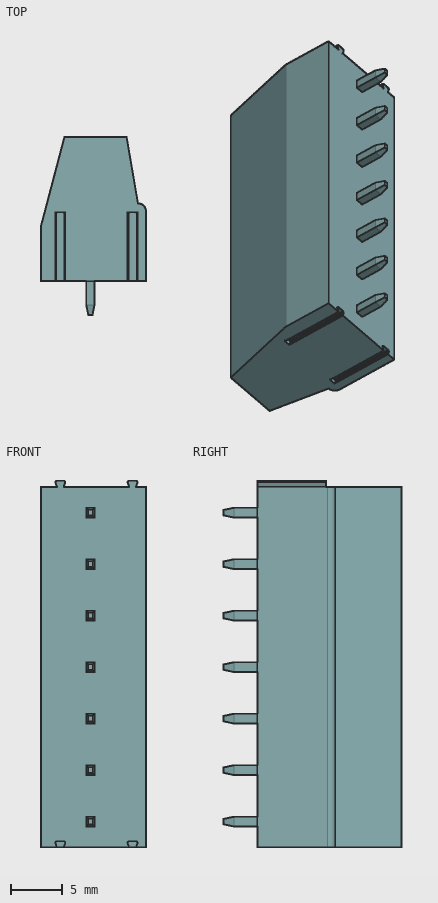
import cadquery as cq

pole_count = 7
ridge_height = 0.6
overall_height = 35.6
housing_height = overall_height - ridge_height
pole_pitch = housing_height / pole_count

housing_width = 10.2
housing_depth = 14.0
left_wall_depth = 5.35
back_left_x = 2.28
back_right_x = 8.33
shoulder_y = 7.55
shoulder_radius = 0.8

dovetail_centres_x = (1.9, 8.9)
dovetail_length = 6.65
dovetail_root_width = 0.68
dovetail_widest = 1.0
dovetail_bevel_width = 0.1
dovetail_bevel_height = 0.15

pin_x = 4.8
pin_width = 0.82
pin_height = 0.95
pin_length = 3.3
pin_tip_length = 1.0
pin_tip_width = 0.43
pin_tip_height = 0.55


def make_housing():
    """Tapered block with a rounded shoulder along its right side."""
    shoulder = (housing_width - shoulder_radius, shoulder_y)
    return (
        cq.Workplane("XY")
        .lineTo(housing_width, 0)
        .lineTo(housing_width, shoulder_y - shoulder_radius)
        .radiusArc(shoulder, -shoulder_radius)
        .lineTo(back_right_x, housing_depth)
        .lineTo(back_left_x, housing_depth)
        .lineTo(0, left_wall_depth)
        .close()
        .extrude(housing_height)
    )


def make_dovetail(centre_x, base_z):
    """Bar that widens upward from base_z and ends in bevelled edges."""
    half_root = dovetail_root_width / 2
    half_widest = dovetail_widest / 2
    half_top = half_widest - dovetail_bevel_width
    bevel_z = ridge_height - dovetail_bevel_height
    return (
        cq.Workplane("XZ", origin=(centre_x, 0, base_z))
        .polyline([
            (-half_root, 0),
            (half_root, 0),
            (half_widest, bevel_z),
            (half_top, ridge_height),
            (-half_top, ridge_height),
            (-half_widest, bevel_z),
        ])
        .close()
        .extrude(-dovetail_length)
    )


def make_pin(centre_z):
    """Rectangular pin pointing to -Y with a tapered tip."""
    shank_length = pin_length - pin_tip_length
    shank = (
        cq.Workplane("XZ", origin=(pin_x, 0, centre_z))
        .rect(pin_width, pin_height)
        .extrude(shank_length)
    )
    tip = (
        cq.Workplane("XZ", origin=(pin_x, -shank_length, centre_z))
        .rect(pin_width, pin_height)
        .workplane(offset=pin_tip_length)
        .rect(pin_tip_width, pin_tip_height)
        .loft(ruled=True)
    )
    return shank.union(tip)


result = make_housing()

for dovetail_x in dovetail_centres_x:
    result = result.union(make_dovetail(dovetail_x, housing_height))
    result = result.cut(make_dovetail(dovetail_x, 0))

for pole in range(pole_count):
    result = result.union(make_pin((pole + 0.5) * pole_pitch))